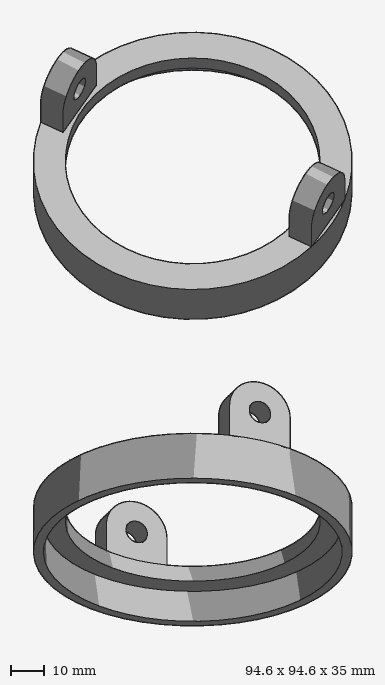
import cadquery as cq

outer_diameter = 94.6
bore_diameter = 75.6
ring_height = 15.0

recess_diameter = 88.6
lip_thickness = 5.0
recess_depth = ring_height - lip_thickness

total_height = 35.0
lug_width = 20.0
lug_thickness = 7.7
lug_inset = 1.0
lug_hole_diameter = 7.0
lug_radius = lug_width / 2
hole_height = total_height - lug_radius


def make_ring():
    ring = cq.Workplane("XY").circle(outer_diameter / 2).circle(bore_diameter / 2).extrude(ring_height)
    recess = cq.Workplane("XY").circle(recess_diameter / 2).extrude(recess_depth)
    return ring.cut(recess)


def make_lug(start_x):
    """Round-topped plate standing on the ring, spanning from its -X face at start_x."""
    plate = (
        cq.Workplane("YZ", origin=(start_x, 0, 0))
        .moveTo(-lug_radius, ring_height)
        .lineTo(lug_radius, ring_height)
        .lineTo(lug_radius, hole_height)
        .threePointArc((0, total_height), (-lug_radius, hole_height))
        .close()
        .extrude(lug_thickness)
    )
    hole = (
        cq.Workplane("YZ", origin=(start_x, 0, hole_height))
        .circle(lug_hole_diameter / 2)
        .extrude(lug_thickness)
    )
    return plate.cut(hole)


lug_outer_x = outer_diameter / 2 - lug_inset
result = make_ring()
for face_x in (-lug_outer_x, lug_outer_x - lug_thickness):
    result = result.union(make_lug(face_x))